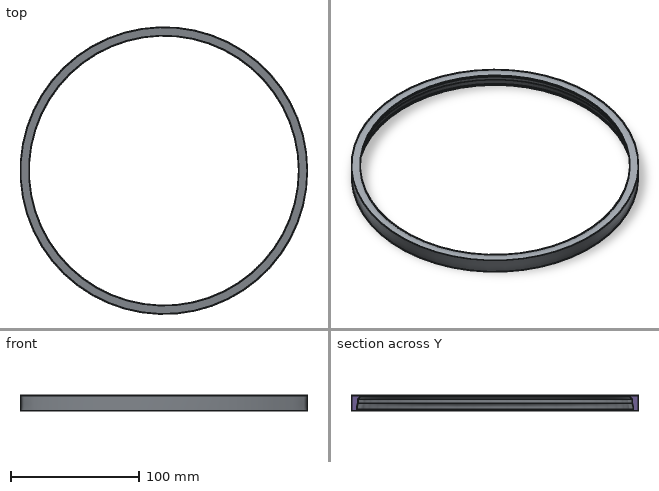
import cadquery as cq
import math

OUTER_DIAMETER = 223.5
TOP_LIP_DIAMETER = 209.95
BORE_DIAMETER = 213.31
GROOVE_DIAMETER = 215.0
BOTTOM_LIP_DIAMETER = 214.0

RING_HEIGHT = 12.0
TOP_LIP_THICKNESS = 1.0
TOP_LIP_TAPER = 2.0
BORE_LENGTH = 3.0
BOTTOM_LIP_THICKNESS = 1.0
BOTTOM_LIP_TAPER = 0.1
GROOVE_FLOOR_LENGTH = 1.0

OUTER_RADIUS = OUTER_DIAMETER / 2
TOP_LIP_RADIUS = TOP_LIP_DIAMETER / 2
BORE_RADIUS = BORE_DIAMETER / 2
GROOVE_RADIUS = GROOVE_DIAMETER / 2
BOTTOM_LIP_RADIUS = BOTTOM_LIP_DIAMETER / 2

TOP_LIP_BOTTOM = RING_HEIGHT - TOP_LIP_THICKNESS
BORE_TOP = TOP_LIP_BOTTOM - TOP_LIP_TAPER
GROOVE_TOP = BORE_TOP - BORE_LENGTH
GROOVE_FLOOR_BOTTOM = BOTTOM_LIP_THICKNESS + BOTTOM_LIP_TAPER
GROOVE_FLOOR_TOP = GROOVE_FLOOR_BOTTOM + GROOVE_FLOOR_LENGTH


def groove_arc_midpoint():
    """Middle of the arc from the bore down to the groove floor, which it meets tangentially."""
    depth = GROOVE_RADIUS - BORE_RADIUS
    height = GROOVE_TOP - GROOVE_FLOOR_TOP
    arc_radius = (depth**2 + height**2) / (2 * depth)
    center_radius = GROOVE_RADIUS - arc_radius
    half_angle = math.asin(height / arc_radius) / 2
    return (
        center_radius + arc_radius * math.cos(half_angle),
        GROOVE_FLOOR_TOP + arc_radius * math.sin(half_angle),
    )


def ring_profile():
    """Half section of the ring, with radius along X and height along Z."""
    return (
        cq.Workplane("XZ")
        .moveTo(OUTER_RADIUS, 0)
        .lineTo(OUTER_RADIUS, RING_HEIGHT)
        .lineTo(TOP_LIP_RADIUS, RING_HEIGHT)
        .lineTo(TOP_LIP_RADIUS, TOP_LIP_BOTTOM)
        .lineTo(BORE_RADIUS, BORE_TOP)
        .lineTo(BORE_RADIUS, GROOVE_TOP)
        .threePointArc(groove_arc_midpoint(), (GROOVE_RADIUS, GROOVE_FLOOR_TOP))
        .lineTo(GROOVE_RADIUS, GROOVE_FLOOR_BOTTOM)
        .lineTo(BOTTOM_LIP_RADIUS, BOTTOM_LIP_THICKNESS)
        .lineTo(BOTTOM_LIP_RADIUS, 0)
        .close()
    )


result = ring_profile().revolve(360, (0, 0, 0), (0, 1, 0))